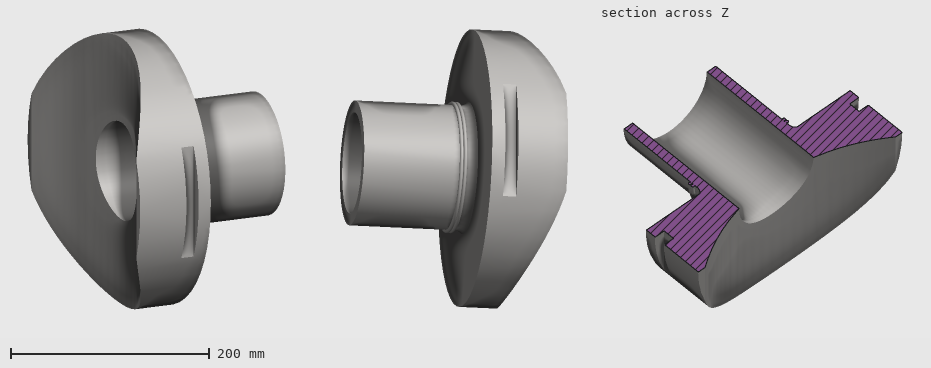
import cadquery as cq

flange_diameter = 280.0
flange_thickness = 77.8
saddle_depth = 41.5
saddle_half_width = 130.5

total_length = 194.0
spigot_radius = 63.0
bore_diameter = 102.0

bead_radius = 2.0
bead_crest_radius = 66.5
bead_offsets = (12.3, 16.2)

flare_length = 7.5
flare_height = 3.5

slot_width = 13.5
slot_wall = 13.5
slot_floor_x = 127.5


def rod(diameter, start, length):
    """Cylinder on the Y axis, running towards +Y from start."""
    plane = cq.Workplane("XZ", origin=(0, start, 0))
    return plane.circle(diameter / 2).extrude(-length)


def saddle_cut():
    """Cylindrical hollow along Z, opening through the front of the flange."""
    radius = (saddle_half_width**2 + saddle_depth**2) / (2 * saddle_depth)
    cutter = cq.Workplane("XY").center(0, saddle_depth - radius).circle(radius)
    return cutter.extrude(flange_diameter / 2, both=True)


def spigot():
    """Tube blank with the concave flare at its foot; the bore is cut later."""
    flare_end = (spigot_radius, flange_thickness + flare_length)
    return (
        cq.Workplane("XY")
        .moveTo(0, flange_thickness)
        .lineTo(0, total_length)
        .lineTo(spigot_radius, total_length)
        .lineTo(*flare_end)
        .tangentArcPoint((spigot_radius + flare_height, flange_thickness), relative=False)
        .close()
        .revolve(360, (0, 0, 0), (0, 1, 0))
    )


def bead(offset):
    """Ring of round cross-section around the spigot."""
    ring_radius = bead_crest_radius - bead_radius
    section = cq.Workplane("XY").center(ring_radius, flange_thickness + offset).circle(bead_radius)
    return section.revolve(360, (-ring_radius, 0, 0), (-ring_radius, 1, 0))


def side_slot(side):
    """Flat-bottomed slot on one side: -1 or +1 along X."""
    depth = flange_diameter / 2 - slot_floor_x
    center_x = side * (slot_floor_x + depth / 2)
    center_y = flange_thickness - slot_wall - slot_width / 2
    return cq.Workplane("XY").box(depth, slot_width, flange_diameter).translate((center_x, center_y, 0))


result = rod(flange_diameter, 0, flange_thickness).cut(saddle_cut())
for side in (-1, 1):
    result = result.cut(side_slot(side))

result = result.union(spigot())
for offset in bead_offsets:
    result = result.union(bead(offset))

result = result.cut(rod(bore_diameter, 0, total_length))